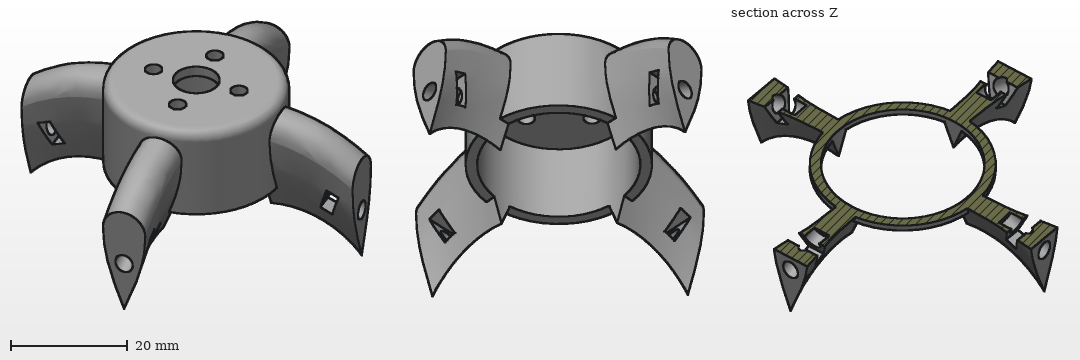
import cadquery as cq
import math

HUB_DIAMETER = 32.0
HUB_HEIGHT = 17.0
HUB_EDGE_RADIUS = 2.0
SIDE_WALL = 2.0
TOP_WALL = 2.0
CAVITY_RADIUS = HUB_DIAMETER / 2 - SIDE_WALL
CENTRE_BORE = 8.0
BOLT_HOLE = 3.0
BOLT_CIRCLE_RADIUS = 8.0

ARM_COUNT = 4
ARM_REACH = 31.0
ARM_START = 12.4
ARM_SECTIONS = 7
ROOT_HALF_WIDTH = 4.0
TIP_HALF_WIDTH = 3.95
FLANK_MIDDLE_WIDTH = 0.53
FLANK_MIDDLE_DROP = 0.65
FLANK_KEEL_TAPER = 1.6
CREST_RADIUS = 29.15
CREST_APEX_X = 13.1
CREST_APEX_Z = 15.2
KEEL_RADIUS = 17.5
KEEL_APEX_X = 17.35
KEEL_APEX_Z = -4.5

NUT_X = 26.05
NUT_Z = 0.25
NUT_THICKNESS = 2.4
NUT_WIDTH = 5.5
SCREW_HOLE = 3.2
SCREW_TILT = 20.5
SCREW_DEPTH_BEHIND_NUT = 3.7
CUT_MARGIN = 3.1


def make_hub():
    """Solid hub with a rounded upper edge."""
    hub = cq.Workplane("XY").circle(HUB_DIAMETER / 2).extrude(HUB_HEIGHT)
    return hub.faces(">Z").edges().fillet(HUB_EDGE_RADIUS)


def arc_height(x, radius, apex_x, apex_z):
    """Height at x of an upward-bulging arc."""
    return apex_z - radius + math.sqrt(radius**2 - (x - apex_x) ** 2)


def arm_section(x):
    """Round-topped, pointed section in the plane at distance x from the hub axis."""
    along = (x - ARM_START) / (ARM_REACH - ARM_START)
    half_width = ROOT_HALF_WIDTH + along * (TIP_HALF_WIDTH - ROOT_HALF_WIDTH)
    crest = arc_height(x, CREST_RADIUS, CREST_APEX_X, CREST_APEX_Z)
    keel = arc_height(x, KEEL_RADIUS, KEEL_APEX_X, KEEL_APEX_Z)
    shoulder = crest - half_width

    middle_y = half_width * FLANK_MIDDLE_WIDTH
    middle_z = shoulder - (shoulder - keel) * FLANK_MIDDLE_DROP
    keel_slope = FLANK_KEEL_TAPER * half_width / (shoulder - keel)

    return (
        cq.Workplane("YZ", origin=(x, 0, 0))
        .moveTo(0, keel)
        .spline(
            [(middle_y, middle_z), (half_width, shoulder)],
            tangents=[(keel_slope, 1), (0, 1)],
            includeCurrent=True,
        )
        .threePointArc((0, crest), (-half_width, shoulder))
        .spline(
            [(-middle_y, middle_z), (0, keel)],
            tangents=[(0, -1), (keel_slope, -1)],
            includeCurrent=True,
        )
        .close()
        .val()
    )


def make_nut_and_screw_cut():
    """Nut slot across the arm and a screw hole running in from the arm end."""
    outer_length = ARM_REACH - NUT_X + CUT_MARGIN
    slot = cq.Workplane("XY").box(NUT_THICKNESS, 2 * ROOT_HALF_WIDTH + CUT_MARGIN, NUT_WIDTH)
    hole = (
        cq.Workplane("YZ", origin=(-SCREW_DEPTH_BEHIND_NUT, 0, 0))
        .circle(SCREW_HOLE / 2)
        .extrude(SCREW_DEPTH_BEHIND_NUT + outer_length)
    )
    cut = slot.union(hole).rotate((0, 0, 0), (0, 1, 0), SCREW_TILT)
    return cut.translate((NUT_X, 0, NUT_Z))


def make_arm():
    """One arm along +X, starting inside the hub."""
    step = (ARM_REACH - ARM_START) / (ARM_SECTIONS - 1)
    sections = [arm_section(ARM_START + i * step) for i in range(ARM_SECTIONS)]
    arm = cq.Workplane(obj=cq.Solid.makeLoft(sections))
    return arm.cut(make_nut_and_screw_cut())


def make_cavity():
    """Round hollow below the top wall; it also trims the arm roots below the hub."""
    ceiling = HUB_HEIGHT - TOP_WALL
    depth = 2 * HUB_HEIGHT
    return cq.Workplane("XY", origin=(0, 0, ceiling - depth)).circle(CAVITY_RADIUS).extrude(depth)


def make_top_holes():
    """Centre bore and the bolt holes in line with the arms."""
    top = cq.Workplane("XY")
    bore = top.circle(CENTRE_BORE / 2).extrude(HUB_HEIGHT)
    bolts = top.polarArray(BOLT_CIRCLE_RADIUS, 0, 360, ARM_COUNT).circle(BOLT_HOLE / 2).extrude(HUB_HEIGHT)
    return bore.union(bolts)


result = make_hub()
arm = make_arm()
for i in range(ARM_COUNT):
    result = result.union(arm.rotate((0, 0, 0), (0, 0, 1), i * 360 / ARM_COUNT))
result = result.cut(make_cavity()).cut(make_top_holes())